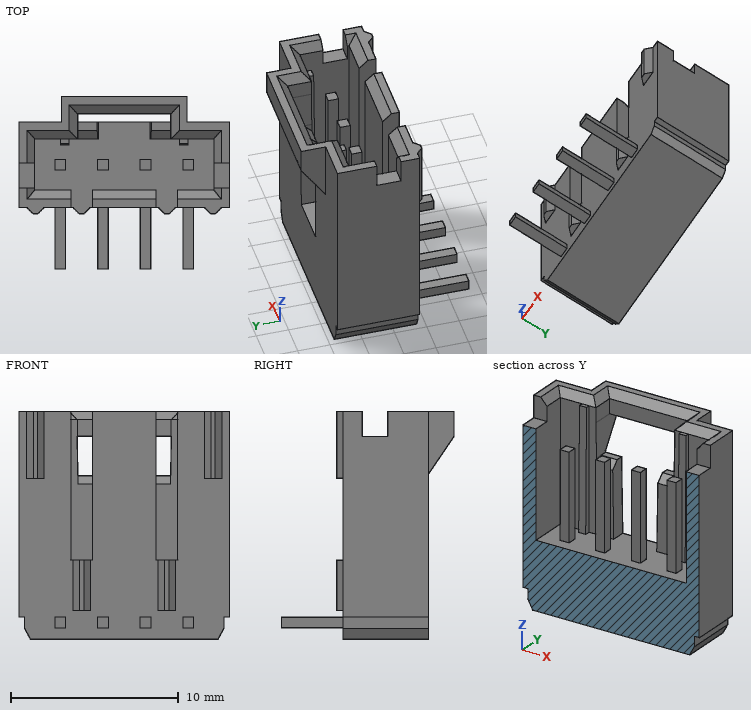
import cadquery as cq


PIN_COUNT = 4
PITCH = 2.54
PIN_SIZE = 0.64
PIN_TAIL_LENGTH = 3.67
PIN_TAIL_Z = 1.0
PIN_CONTACT_HEIGHT = 6.0

WIDTH = 12.57
DEPTH = 5.1
HEIGHT = 13.59
SIDE_WALL = 0.95
FRONT_WALL = 1.05
BACK_WALL = 1.0
FLOOR_Z = 4.72
LIP = 0.5
HOOD_SIDE_LIP = 0.46

FOOT_HEIGHT = 1.33
FOOT_INSET = 0.34
FOOT_BEVEL_WIDTH = 0.355
FOOT_BEVEL_HEIGHT = 0.66

HOOD_WIDTH = 7.5
HOOD_DEPTH = 1.52
HOOD_BACK_WALL = 1.03
HOOD_BAND_HEIGHT = 1.5
HOOD_GUSSET_HEIGHT = 3.74

SILL_DROP = 3.83
WINDOW_TAPER = 0.045
BACK_SLOT_WIDTH = 3.22
BACK_SLOT_TAPER = 0.08

FRONT_SLOT_WIDTH = 1.27
NOTCH_WIDTH = 1.5
NOTCH_DEPTH = 1.5
NOTCH_Y = 1.91

KEY_BASE = 1.04
KEY_TIP = 0.26
KEY_HEIGHT = 0.38
UPPER_KEY_X = 5.29
UPPER_KEY_LENGTH = 4.0
LOWER_KEY_LENGTH = 3.0

RIB_WIDTH = 0.5
RIB_X = 3.54
RIB_TOP_DEPTH = 0.27
RIB_FOOT_DEPTH = 0.36

HALF_WIDTH = WIDTH / 2
CAVITY_HALF = HALF_WIDTH - SIDE_WALL
CAVITY_BACK = DEPTH - BACK_WALL
HOOD_BACK = DEPTH + HOOD_DEPTH
HOOD_INNER_BACK = HOOD_BACK - HOOD_BACK_WALL
HOOD_INNER_HALF = HOOD_WIDTH / 2 - SIDE_WALL
BAND_Z = HEIGHT - HOOD_BAND_HEIGHT
SILL_Z = HEIGHT - SILL_DROP
LIP_Z = HEIGHT - LIP


def block(x0, x1, y0, y1, z0, z1):
    return cq.Workplane("XY").box(x1 - x0, y1 - y0, z1 - z0, centered=False).translate((x0, y0, z0))


def tapered_block(half_bottom, half_top, y0, y1, z0, z1):
    """Trapezoid in the XZ plane, carried from y0 to y1."""
    outline = [(-half_bottom, z0), (half_bottom, z0), (half_top, z1), (-half_top, z1)]
    return cq.Workplane("XZ", origin=(0, y0, 0)).polyline(outline).close().extrude(y0 - y1)


def side_profile(points, half_width):
    """Outline in the YZ plane, carried across X symmetrically."""
    return cq.Workplane("YZ").polyline(points).close().extrude(half_width, both=True)


def housing_block():
    foot_half = HALF_WIDTH - FOOT_INSET
    bottom_half = foot_half - FOOT_BEVEL_WIDTH
    right_edge = [
        (bottom_half, 0),
        (foot_half, FOOT_BEVEL_HEIGHT),
        (foot_half, FOOT_HEIGHT),
        (HALF_WIDTH, FOOT_HEIGHT),
        (HALF_WIDTH, HEIGHT),
    ]
    left_edge = [(-x, z) for x, z in reversed(right_edge)]
    return cq.Workplane("XZ").polyline(right_edge + left_edge).close().extrude(-DEPTH)


def hood_block():
    outline = [
        (CAVITY_BACK, HEIGHT),
        (HOOD_BACK, HEIGHT),
        (HOOD_BACK, BAND_Z),
        (DEPTH, HEIGHT - HOOD_GUSSET_HEIGHT),
        (CAVITY_BACK, HEIGHT - HOOD_GUSSET_HEIGHT),
    ]
    return side_profile(outline, HOOD_WIDTH / 2)


def mouth_outline(z, wall_x, wall_front, wall_back, hood_wall_x, hood_wall_back):
    """T-shaped mouth of the cavity at height z, for the given wall thicknesses."""
    half = HALF_WIDTH - wall_x
    hood_half = HOOD_WIDTH / 2 - hood_wall_x
    right_edge = [
        (half, wall_front),
        (half, DEPTH - wall_back),
        (hood_half, DEPTH - wall_back),
        (hood_half, HOOD_BACK - hood_wall_back),
    ]
    left_edge = [(-x, y) for x, y in reversed(right_edge)]
    return cq.Workplane("XY", origin=(0, 0, z)).polyline(right_edge + left_edge).close().wires().val()


def mouth_bevel():
    bottom = mouth_outline(LIP_Z, SIDE_WALL, FRONT_WALL, BACK_WALL, SIDE_WALL, HOOD_BACK_WALL)
    top = mouth_outline(HEIGHT, LIP, LIP, LIP, HOOD_SIDE_LIP, LIP)
    return cq.Workplane(cq.Solid.makeLoft([bottom, top], True))


def latch_window():
    """Opening through the back wall and under the hood band, with a bevelled sill."""
    window_half = HOOD_INNER_HALF - WINDOW_TAPER
    opening = tapered_block(window_half, HOOD_INNER_HALF, CAVITY_BACK, HOOD_BACK, SILL_Z, BAND_Z)
    bevel = [(CAVITY_BACK, SILL_Z), (DEPTH - LIP, SILL_Z), (CAVITY_BACK, SILL_Z - LIP)]
    return opening.union(side_profile(bevel, window_half))


def back_slot():
    half_top = BACK_SLOT_WIDTH / 2
    return tapered_block(half_top - BACK_SLOT_TAPER, half_top, CAVITY_BACK, DEPTH, FLOOR_Z, SILL_Z)


def key(x, z0, z1):
    half_base = KEY_BASE / 2
    half_tip = KEY_TIP / 2
    outline = [(-half_base, 0), (-half_tip, -KEY_HEIGHT), (half_tip, -KEY_HEIGHT), (half_base, 0)]
    return cq.Workplane("XY", origin=(x, 0, z0)).polyline(outline).close().extrude(z1 - z0)


def cavity_rib(x):
    outline = [
        (CAVITY_BACK, FLOOR_Z),
        (CAVITY_BACK - RIB_FOOT_DEPTH, FLOOR_Z),
        (CAVITY_BACK - RIB_TOP_DEPTH, LIP_Z),
        (CAVITY_BACK, LIP_Z),
    ]
    return side_profile(outline, RIB_WIDTH / 2).translate((x, 0, 0))


def pin(x):
    """L-shaped pin: a tail out of the front and a contact standing in the cavity."""
    half = PIN_SIZE / 2
    y = DEPTH / 2
    tail = block(x - half, x + half, -PIN_TAIL_LENGTH, y + half, PIN_TAIL_Z - half, PIN_TAIL_Z + half)
    contact_top = FLOOR_Z + PIN_CONTACT_HEIGHT
    contact = block(x - half, x + half, y - half, y + half, PIN_TAIL_Z - half, contact_top)
    return tail.union(contact)


result = housing_block().union(hood_block())
result = result.cut(block(-CAVITY_HALF, CAVITY_HALF, FRONT_WALL, CAVITY_BACK, FLOOR_Z, HEIGHT))
result = result.cut(block(-HOOD_INNER_HALF, HOOD_INNER_HALF, CAVITY_BACK, HOOD_INNER_BACK, BAND_Z, HEIGHT))
result = result.cut(mouth_bevel())
result = result.cut(latch_window())
result = result.cut(back_slot())
notch_y0 = NOTCH_Y - NOTCH_WIDTH / 2
notch_y1 = NOTCH_Y + NOTCH_WIDTH / 2
result = result.cut(block(-HALF_WIDTH, HALF_WIDTH, notch_y0, notch_y1, HEIGHT - NOTCH_DEPTH, HEIGHT))

for side in (-1, 1):
    slot_x = side * PITCH
    slot_half = FRONT_SLOT_WIDTH / 2
    result = result.cut(block(slot_x - slot_half, slot_x + slot_half, 0, FRONT_WALL, FLOOR_Z, HEIGHT))
    result = result.union(key(slot_x, FLOOR_Z - LOWER_KEY_LENGTH, FLOOR_Z))
    result = result.union(key(side * UPPER_KEY_X, HEIGHT - UPPER_KEY_LENGTH, HEIGHT))
    result = result.union(cavity_rib(side * RIB_X))

for index in range(PIN_COUNT):
    result = result.union(pin((index - (PIN_COUNT - 1) / 2) * PITCH))